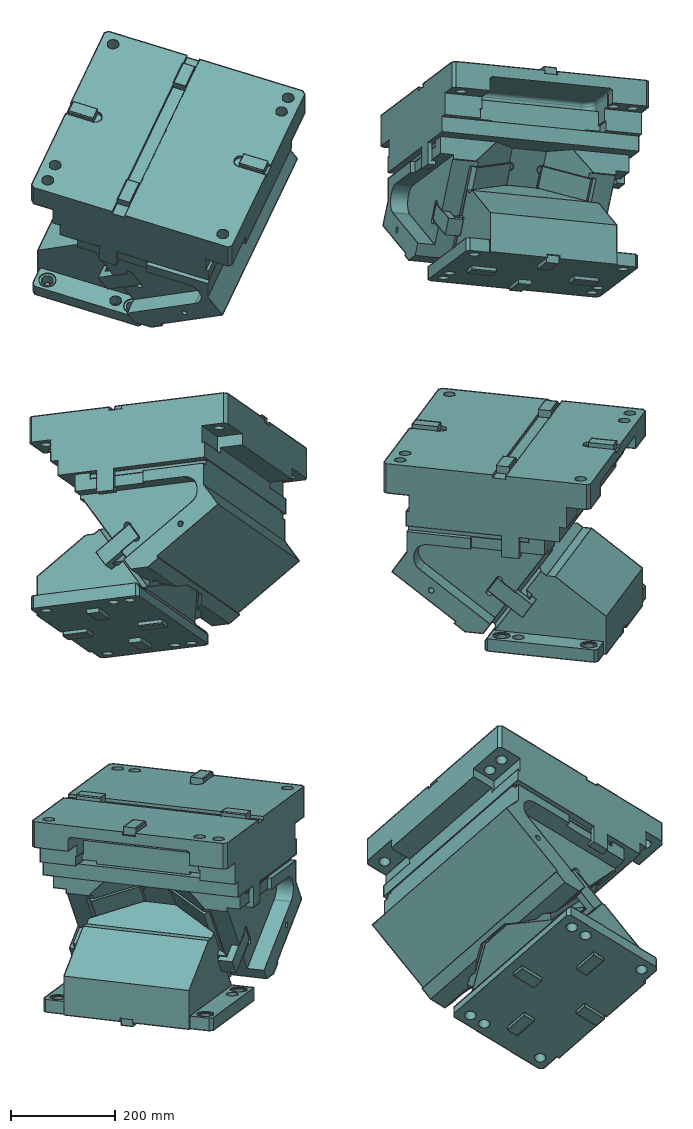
import cadquery as cq
import math


HALF_WIDTH = 200.0
TOTAL_LENGTH = 423.0
TOTAL_HEIGHT = 393.0
KEY_PROUD = 9.0
KEY_SEAT = 6.5
KEY_LENGTH = 50.0
KEY_WIDTH = 26.0
KEY_CHAMFER = 2.0
BOLT_RADIUS = 11.0
CORNER_CHAMFER = 6.5

INCLINE = math.radians(35)
ROOF = math.radians(30)
RIDGE_OUT = 256.8
RIDGE_HALF = 32.0
REACH = 846.0
OVERLAP = 4.2

DRIVER_HALF = 128.5
DRIVER_LENGTH = 229.3
DRIVER_BOTTOM = KEY_PROUD
DRIVER_FRONT_TOP = 86.7
DRIVER_SHOULDER_X = 101.0
DRIVER_SHOULDER_Z = 157.8
DRIVER_SHOULDER_LENGTH = 17.5
FLANGE_HALF = 174.3
FLANGE_START = 5.0
FLANGE_TOP = 34.3
BEVEL_OUT = 203.5
DRIVER_END_ALONG = 94.0
FLANGE_HOLE_Y = 151.0
COUNTERBORE_HOLES_X = (28.5, 201.8)
COUNTERBORE_RADIUS = 16.0
COUNTERBORE_DEPTH = 2.0
DOWEL_HOLE_X = 168.0
DRIVER_KEYS_X = (FLANGE_START, 160.7)
DRIVER_CROSS_KEY_X = 103.0

HOOK_ALONG = (-10.5, 23.3)
HOOK_OUT = (174.5, 259.0)
HOOK_Y = (149.0, 163.5)
HOOK_FOOT_Y = 133.5
HOOK_FOOT_THICKNESS = 10.5
HOOK_CLEARANCE = 2.0
HOOK_END_GAP = 1.5
RELIEF_RADIUS = 6.5
LUG_HALF = 146.8

SLIDER_FRONT_X = 105.5
SLIDER_BACK_X = 375.5
SLIDER_BOTTOM_Z = 54.5
SLIDER_CORNER_Z = 218.3
SLIDER_FLANK_OUT = 215.5
SLIDER_BACK_OUT = 425.5
SLIDER_END_ALONG = 99.5
FOOT_END_ALONG = 104.5
FOOT_OUT = 270.7
CHEEK_HALF = 165.5
POCKET_TOP_Z = 226.5
POCKET_ALONG = 59.0
POCKET_RADIUS = 29.0
RAIL_HALF = 191.5
RAIL_STOP_X = 249.5
LEDGE_START_X = 136.0
LEDGE_Z = 248.5
LEDGE_HALF = 189.5
TOP_GAP = 3.0
TOP_GAP_HALF = 182.0
PIN_HOLE_X = 327.5
PIN_HOLE_Z = 133.0
PIN_HOLE_RADIUS = 5.5
PIN_HOLE_DEPTH = 34.0
PLATE_ALONG = (-105.8, 93.0)
PLATE_Y = (RIDGE_HALF, 116.0)
GROOVE_HALF = 34.5
PLATE_PROUD = 5.0
PLATE_SLOT_WIDTH = 1.5
PLATE_SLOT_DEPTH = 3.5
PLATE_CORNER_RADIUS = 8.0
PLATE_ROOT = 15.2
PLATE_RELIEF = ((123.0, 218.3), (DRIVER_HALF, SLIDER_FLANK_OUT))

HOLDER_START_X = 12.5
HOLDER_TOP = TOTAL_HEIGHT - KEY_PROUD
HOLDER_BOTTOM = 260.0
STEP_Z = 290.0
FRONT_STEP_X = 58.5
FRONT_FOOT_X = 73.0
FRONT_PLATE_Z = 333.0
BACK_STEP_X = 372.0
BACK_FOOT_X = 377.5
BACK_PLATE_Z = 323.5
STOP_Z = 301.0
STOP_HALF = 122.2
CLAW_X = (153.5, 188.2)
CLAW_BOTTOM = 217.0
CLAW_FOOT_TOP = 226.0
CLAW_TIP_Y = 185.0
HOLDER_CROSS_KEY_X = 179.8
CROSS_KEY_Y = 124.0
HOLDER_KEYS_X = (18.0, 367.5)
KEY_SLOT_ENDS_X = (81.2, 353.0)
HOLE_X = (38.0, 396.5)
HOLE_Y = 174.3
FRONT_EXTRA_HOLE_Y = -135.5
BACK_EXTRA_HOLE_Y = 139.0
CHANNEL_HALF = 124.8
CHANNEL_ROOF = 361.2
CHANNEL_CORNER = 22.5
CHANNEL_ROOF_FILLET = 7.5
CHANNEL_END_X = 127.0
CHANNEL_WIDE_HALF = 127.7
CHANNEL_WIDE_Z = 309.2
CORE_START_X = 85.5
CORE_TOP = 334.5
CORE_NECK_HALF = 95.5
CORE_FOOT_Z = 295.5
CORE_GAP = 2.5


def incline_point(along, out):
    """X, Z of a point given in the incline directions."""
    return (
        along * math.sin(INCLINE) + out * math.cos(INCLINE),
        -along * math.cos(INCLINE) + out * math.sin(INCLINE),
    )


def along_at_z(out, z):
    """Position along the incline where the level `out` has the height z."""
    return (out * math.sin(INCLINE) - z) / math.cos(INCLINE)


def roof_out(y):
    """Level of the sloping roof side at the distance y from the mid-plane."""
    return RIDGE_OUT - (y - RIDGE_HALF) * math.tan(ROOF)


def block(xs, ys, zs):
    size = (xs[1] - xs[0], ys[1] - ys[0], zs[1] - zs[0])
    return cq.Workplane("XY").box(*size, centered=False).translate((xs[0], ys[0], zs[0]))


def centred_block(xs, half, zs):
    return block(xs, (-half, half), zs)


def side_extrusion(points, ys):
    """X-Z outline spanning the given Y range."""
    plane = cq.Workplane("XZ", origin=(0, ys[1], 0))
    return plane.polyline(points).close().extrude(ys[1] - ys[0])


def incline_prism(profile, alongs):
    """(y, out) profile swept along the incline."""
    start = incline_point(alongs[0], 0)
    plane = cq.Plane(
        origin=(start[0], 0, start[1]),
        xDir=(0, 1, 0),
        normal=(math.sin(INCLINE), 0, -math.cos(INCLINE)),
    )
    return cq.Workplane(plane).polyline(profile).close().extrude(alongs[1] - alongs[0])


def both_sides(shape):
    return shape.union(shape.mirror("XZ"))


def mirrored_profile(half_profile):
    return half_profile + [(-y, out) for y, out in reversed(half_profile)]


def length_key(x, zs, edges):
    """Key along X on the mid-plane; `edges` selects the exposed face."""
    key = centred_block((x, x + KEY_LENGTH), KEY_WIDTH / 2, zs)
    return key.faces(edges).edges("<Y").chamfer(KEY_CHAMFER)


def cross_key(x, y, zs, edges):
    """Key along Y starting at y."""
    key = block((x, x + KEY_WIDTH), (y, y + KEY_LENGTH), zs)
    return key.faces(edges).edges("<X").chamfer(KEY_CHAMFER)


def driver_body():
    shoulder_end = DRIVER_SHOULDER_X + DRIVER_SHOULDER_LENGTH
    top_along = shoulder_end * math.sin(INCLINE) - DRIVER_SHOULDER_Z * math.cos(INCLINE)
    outline = [
        (0, DRIVER_BOTTOM),
        (0, DRIVER_FRONT_TOP),
        (DRIVER_SHOULDER_X, DRIVER_SHOULDER_Z),
        (shoulder_end, DRIVER_SHOULDER_Z),
        incline_point(top_along, RIDGE_OUT + OVERLAP),
        incline_point(DRIVER_END_ALONG, RIDGE_OUT + OVERLAP),
        incline_point(DRIVER_END_ALONG, BEVEL_OUT),
        (DRIVER_LENGTH, (BEVEL_OUT - DRIVER_LENGTH * math.cos(INCLINE)) / math.sin(INCLINE)),
        (DRIVER_LENGTH, DRIVER_BOTTOM),
    ]
    roof = incline_prism(
        mirrored_profile([
            (RIDGE_HALF, RIDGE_OUT),
            (DRIVER_HALF, roof_out(DRIVER_HALF)),
            (DRIVER_HALF, -REACH),
        ]),
        (-REACH, REACH),
    )
    return side_extrusion(outline, (-DRIVER_HALF, DRIVER_HALF)).intersect(roof)


def driver_flange():
    flange = centred_block((FLANGE_START, DRIVER_LENGTH), FLANGE_HALF, (DRIVER_BOTTOM, FLANGE_TOP))
    flange = flange.edges("|Z").chamfer(CORNER_CHAMFER)
    bevel = incline_prism(
        [(-REACH, BEVEL_OUT), (REACH, BEVEL_OUT), (REACH, REACH), (-REACH, REACH)],
        (-REACH, REACH),
    )
    return flange.cut(bevel)


def driver_lugs():
    lug_bottom = HOOK_OUT[0] + HOOK_FOOT_THICKNESS + HOOK_CLEARANCE
    profile = [
        (DRIVER_HALF - OVERLAP, lug_bottom),
        (DRIVER_HALF - OVERLAP, roof_out(DRIVER_HALF - OVERLAP)),
        (LUG_HALF, roof_out(LUG_HALF)),
        (LUG_HALF, lug_bottom),
    ]
    return both_sides(incline_prism(profile, HOOK_ALONG))


def drill(body, x, y, z_top):
    return body.cut(cq.Workplane("XY", origin=(x, y, z_top)).circle(BOLT_RADIUS).extrude(-REACH))


def make_driver():
    driver = driver_body().union(driver_flange()).union(driver_lugs())
    for y in (-FLANGE_HOLE_Y, FLANGE_HOLE_Y):
        driver = drill(driver, DOWEL_HOLE_X, y, FLANGE_TOP)
        for x in COUNTERBORE_HOLES_X:
            driver = drill(driver, x, y, FLANGE_TOP)
            recess = cq.Workplane("XY", origin=(x, y, FLANGE_TOP)).circle(COUNTERBORE_RADIUS)
            driver = driver.cut(recess.extrude(-COUNTERBORE_DEPTH))
    key_z = (0, DRIVER_BOTTOM + KEY_SEAT)
    seat_z = (DRIVER_BOTTOM, DRIVER_BOTTOM + KEY_SEAT)
    driver = driver.cut(centred_block((0, FLANGE_START), KEY_WIDTH / 2, seat_z))
    for x in DRIVER_KEYS_X:
        driver = driver.union(length_key(x, key_z, "<Z"))
    for y in (-DRIVER_HALF, DRIVER_HALF - KEY_LENGTH):
        driver = driver.union(cross_key(DRIVER_CROSS_KEY_X, y, key_z, "<Z"))
    return driver


def slider_blank():
    back_along = (SLIDER_BACK_X - SLIDER_BACK_OUT * math.cos(INCLINE)) / math.sin(INCLINE)
    foot_out = (SLIDER_BOTTOM_Z + FOOT_END_ALONG * math.cos(INCLINE)) / math.sin(INCLINE)
    outline = [
        (SLIDER_FRONT_X, HOLDER_BOTTOM),
        (SLIDER_BACK_X, HOLDER_BOTTOM),
        incline_point(back_along, SLIDER_BACK_OUT),
        incline_point(SLIDER_END_ALONG, SLIDER_BACK_OUT),
        incline_point(SLIDER_END_ALONG, FOOT_OUT),
        incline_point(FOOT_END_ALONG, FOOT_OUT),
        incline_point(FOOT_END_ALONG, foot_out),
        incline_point(along_at_z(SLIDER_FLANK_OUT, SLIDER_BOTTOM_Z), SLIDER_FLANK_OUT),
        incline_point(along_at_z(SLIDER_FLANK_OUT, SLIDER_CORNER_Z), SLIDER_FLANK_OUT),
        (SLIDER_FRONT_X, SLIDER_CORNER_Z),
    ]
    return side_extrusion(outline, (-HALF_WIDTH, HALF_WIDTH))


def side_pockets():
    """Open recesses that leave a rail above and a sloping rib behind."""
    corner_out = (POCKET_TOP_Z + POCKET_ALONG * math.cos(INCLINE)) / math.sin(INCLINE)
    low = incline_point(POCKET_ALONG, 0)
    outline = [
        (low[0], POCKET_TOP_Z),
        incline_point(POCKET_ALONG, corner_out),
        low,
    ]
    pocket = side_extrusion(outline, (CHEEK_HALF, HALF_WIDTH))
    return both_sides(pocket.edges("|Y").edges(">X").fillet(POCKET_RADIUS))


def rail_steps():
    """Recesses along the upper rails: front step, ledge and the gap below the holder."""
    front = block((SLIDER_FRONT_X, RAIL_STOP_X), (RAIL_HALF, HALF_WIDTH), (POCKET_TOP_Z, HOLDER_BOTTOM))
    rail_x = (LEDGE_START_X, SLIDER_BACK_X)
    ledge = block(rail_x, (LEDGE_HALF, HALF_WIDTH), (LEDGE_Z, HOLDER_BOTTOM))
    gap = block(rail_x, (TOP_GAP_HALF, HALF_WIDTH), (HOLDER_BOTTOM - TOP_GAP, HOLDER_BOTTOM))
    return both_sides(front.union(ledge).union(gap))


def groove_bottom():
    return roof_out(GROOVE_HALF) + PLATE_PROUD


def plate_slots():
    """Slot beside each wear plate, with a round relief at its upper inner corner."""
    edge = PLATE_Y[0]
    side = edge - PLATE_SLOT_WIDTH
    top = groove_bottom() + PLATE_SLOT_DEPTH
    slot = incline_prism([(side, 0), (side, top), (edge, top), (edge, 0)], PLATE_ALONG)
    x, z = incline_point(PLATE_ALONG[0] + PLATE_CORNER_RADIUS, top)
    plane = cq.Plane(
        origin=(x, edge, z),
        xDir=(0, 1, 0),
        normal=(math.cos(INCLINE), 0, math.sin(INCLINE)),
    )
    corner = cq.Workplane(plane).circle(PLATE_CORNER_RADIUS).extrude(-2 * PLATE_SLOT_DEPTH)
    return both_sides(slot.union(corner))


def wear_plates():
    inner, outer = PLATE_Y
    profile = [
        (inner, roof_out(inner)),
        (inner, roof_out(inner) + PLATE_ROOT),
        (PLATE_RELIEF[0][0], roof_out(PLATE_RELIEF[0][0]) + PLATE_ROOT),
        PLATE_RELIEF[0],
        (outer, roof_out(outer)),
    ]
    return both_sides(incline_prism(profile, PLATE_ALONG))


def slider_hooks():
    """Bars set into the cheeks, with feet reaching under the driver lugs."""
    profile = [
        (HOOK_FOOT_Y, HOOK_OUT[0]),
        (HOOK_FOOT_Y, HOOK_OUT[0] + HOOK_FOOT_THICKNESS),
        (HOOK_Y[0], HOOK_OUT[0] + HOOK_FOOT_THICKNESS),
        (HOOK_Y[0], HOOK_OUT[1]),
        (HOOK_Y[1], HOOK_OUT[1]),
        (HOOK_Y[1], HOOK_OUT[0]),
    ]
    return both_sides(incline_prism(profile, HOOK_ALONG))


def hook_seats():
    """Seats for the hooks, with a round relief at each inner corner."""
    y_range = (HOOK_Y[0], CHEEK_HALF)
    inner = HOOK_OUT[1] + HOOK_END_GAP
    profile = [(y_range[0], 0), (y_range[0], inner), (y_range[1], inner), (y_range[1], 0)]
    seat = incline_prism(profile, HOOK_ALONG)
    for along in HOOK_ALONG:
        x, z = incline_point(along, inner - RELIEF_RADIUS)
        relief = cq.Workplane("XZ", origin=(x, y_range[1], z)).circle(RELIEF_RADIUS)
        seat = seat.union(relief.extrude(y_range[1] - y_range[0]))
    return both_sides(seat)


def make_slider():
    groove = incline_prism(
        mirrored_profile([
            (GROOVE_HALF, groove_bottom()),
            (LUG_HALF, roof_out(LUG_HALF) + PLATE_PROUD),
            (LUG_HALF, 0),
        ]),
        (-REACH, REACH),
    )
    relief = incline_prism(
        [(PLATE_Y[1], roof_out(PLATE_Y[1])), *PLATE_RELIEF, (DRIVER_HALF, roof_out(DRIVER_HALF))],
        PLATE_ALONG,
    )
    slider = slider_blank().cut(side_pockets()).cut(rail_steps()).cut(groove).cut(plate_slots())
    slider = slider.union(wear_plates()).cut(both_sides(relief))
    slider = slider.cut(hook_seats()).union(slider_hooks())
    pin_hole = cq.Workplane("XZ", origin=(PIN_HOLE_X, -HALF_WIDTH, PIN_HOLE_Z)).circle(PIN_HOLE_RADIUS)
    return slider.cut(both_sides(pin_hole.extrude(-PIN_HOLE_DEPTH)))


def holder_blank():
    plate = centred_block((HOLDER_START_X, TOTAL_LENGTH), HALF_WIDTH, (BACK_PLATE_Z, HOLDER_TOP))
    plate = plate.edges("|Z").chamfer(CORNER_CHAMFER)
    plate = plate.cut(
        centred_block((HOLDER_START_X, FRONT_STEP_X), HALF_WIDTH, (BACK_PLATE_Z, FRONT_PLATE_Z))
    )
    middle = centred_block((FRONT_STEP_X, BACK_STEP_X), HALF_WIDTH, (STEP_Z, BACK_PLATE_Z))
    foot = centred_block((FRONT_FOOT_X, BACK_FOOT_X), HALF_WIDTH, (HOLDER_BOTTOM, STEP_Z))
    stop = centred_block((BACK_STEP_X, TOTAL_LENGTH), STOP_HALF, (STOP_Z, BACK_PLATE_Z))
    stop_root = centred_block((BACK_STEP_X, BACK_FOOT_X), STOP_HALF, (STEP_Z, STOP_Z))
    return plate.union(middle).union(foot).union(stop).union(stop_root)


def channel():
    """Stepped channel open at the front, with rounded inner corners in its upper part."""
    upper = centred_block((HOLDER_START_X, CHANNEL_END_X), CHANNEL_HALF, (CHANNEL_WIDE_Z, CHANNEL_ROOF))
    upper = upper.edges("|Z and >X").fillet(CHANNEL_CORNER)
    upper = upper.faces(">Z").edges("not <X").fillet(CHANNEL_ROOF_FILLET)
    lower = centred_block((FRONT_STEP_X, CHANNEL_END_X), CHANNEL_WIDE_HALF, (STEP_Z, CHANNEL_WIDE_Z))
    return upper.union(lower)


def channel_core():
    """T-shaped core left standing in the channel with a thin gap around it."""
    core_x = (CORE_START_X, CHANNEL_END_X)
    upper = centred_block(core_x, CHANNEL_HALF - CORE_GAP, (CORE_FOOT_Z, CORE_TOP))
    wide = centred_block(core_x, CHANNEL_WIDE_HALF - CORE_GAP, (CORE_FOOT_Z, CHANNEL_WIDE_Z - CORE_GAP))
    neck = centred_block(core_x, CORE_NECK_HALF, (STEP_Z, CORE_FOOT_Z))
    return upper.union(wide).union(neck)


def claws():
    """Hooks that grip the slider rails from outside."""
    post = block(CLAW_X, (RAIL_HALF, HALF_WIDTH), (CLAW_BOTTOM, HOLDER_BOTTOM))
    tip = block(CLAW_X, (CLAW_TIP_Y, HALF_WIDTH), (CLAW_BOTTOM, CLAW_FOOT_TOP))
    return both_sides(post.union(tip))


def key_seats():
    """Cross groove and two round-ended slots in the top face."""
    seat_z = (HOLDER_TOP - KEY_SEAT, HOLDER_TOP)
    seats = centred_block((HOLDER_CROSS_KEY_X, HOLDER_CROSS_KEY_X + KEY_WIDTH), HALF_WIDTH, seat_z)
    radius = KEY_WIDTH / 2
    for edge_x, end_x in zip((HOLDER_START_X, TOTAL_LENGTH), KEY_SLOT_ENDS_X):
        centre_x = end_x - math.copysign(radius, end_x - edge_x)
        straight = centred_block(sorted((edge_x, centre_x)), radius, seat_z)
        round_end = cq.Workplane("XY", origin=(centre_x, 0, seat_z[0])).circle(radius).extrude(KEY_SEAT)
        seats = seats.union(straight).union(round_end)
    return seats


def make_holder():
    holder = holder_blank().cut(channel()).union(channel_core()).union(claws()).cut(key_seats())
    key_z = (HOLDER_TOP - KEY_SEAT, TOTAL_HEIGHT)
    for x in HOLDER_KEYS_X:
        holder = holder.union(length_key(x, key_z, ">Z"))
    for y in (-CROSS_KEY_Y - KEY_LENGTH, CROSS_KEY_Y):
        holder = holder.union(cross_key(HOLDER_CROSS_KEY_X, y, key_z, ">Z"))
    for x, extra_y in zip(HOLE_X, (FRONT_EXTRA_HOLE_Y, BACK_EXTRA_HOLE_Y)):
        for y in (-HOLE_Y, HOLE_Y, extra_y):
            holder = drill(holder, x, y, HOLDER_TOP)
    return holder


driver = make_driver().solids()
slider = make_slider().solids()
holder = make_holder().solids()

result = cq.Compound.makeCompound([driver.val(), slider.val(), holder.val()])